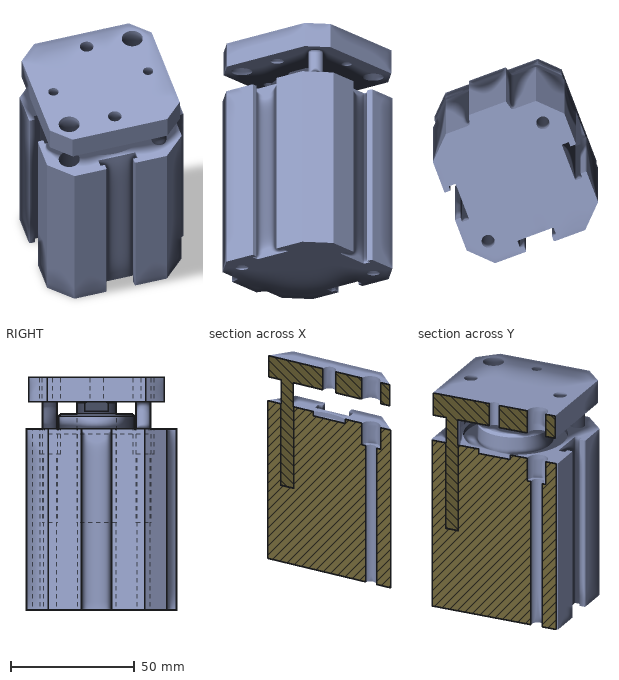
import cadquery as cq

TOTAL_HEIGHT = 94.5
PLATE_THICKNESS = 10.0
HOUSING_HEIGHT = 73.5
PLATE_BOTTOM = TOTAL_HEIGHT - PLATE_THICKNESS

HOUSING_HALF = 28.49
HOUSING_CHAMFER = 9.0

RAIL_TIP_Y = 32.555
RAIL_TIP_HALF = 8.0
RAIL_ROOT_HALF = 9.2
RAIL_ROOT_RADIUS = 1.2

SLOT_MOUTH_HALF = 6.0
SLOT_INNER_HALF = 7.8
SLOT_LIP = 2.5
SLOT_DEPTH = 5.5
SLOT_FLOOR_RADIUS = 0.4
SLOT_MOUTH_CHAMFER = 0.3

RECESS_DIAMETER = 42.5
RECESS_DEPTH = 2.0
COLLAR_DIAMETER = 31.0
COLLAR_RISE = 6.1
COLLAR_CHAMFER = 1.0
COLLAR_TOP = HOUSING_HEIGHT + COLLAR_RISE

ROD_DIAMETER = 16.0
FLATS_WIDTH = 12.85
FLATS_HEIGHT = 3.8
ROD_END_CHAMFER = 0.4

CORNER_OFFSET = 19.0
PIN_CORNERS = [(-CORNER_OFFSET, -CORNER_OFFSET), (CORNER_OFFSET, CORNER_OFFSET)]
BOLT_CORNERS = [(-CORNER_OFFSET, CORNER_OFFSET), (CORNER_OFFSET, -CORNER_OFFSET)]
PIN_DIAMETER = 6.0
INSERTION = 37.8
INSERTED_END = HOUSING_HEIGHT - INSERTION
BOLT_HOLE_DIAMETER = 5.3
COUNTERBORE_DIAMETER = 8.5
COUNTERBORE_DEPTH = 10.0

PLATE_HALF = 27.5
PLATE_CHAMFER = 7.5
ACCESS_HOLE_DIAMETER = 8.5
PLATE_HOLE_OFFSET = 20.0
SIDE_HOLE_DIAMETER = 5.5
FRONT_HOLE_DIAMETER = 4.2


def cylinders(diameter, z_from, z_to, centers):
    """Upright cylinders of one diameter at each of the given centers."""
    return (
        cq.Workplane("XY")
        .workplane(offset=z_from)
        .pushPoints(centers)
        .circle(diameter / 2)
        .extrude(z_to - z_from)
    )


def piston_rod():
    """Round rod from inside the housing to the plate, flattened on both X sides below the plate."""
    rod = cylinders(ROD_DIAMETER, INSERTED_END, PLATE_BOTTOM, [(0, 0)])
    rod = rod.faces(">Z").edges().chamfer(ROD_END_CHAMFER)
    flats_band = (
        cq.Workplane("XY")
        .workplane(offset=PLATE_BOTTOM - FLATS_HEIGHT)
        .rect(2 * ROD_DIAMETER, 2 * ROD_DIAMETER)
        .rect(FLATS_WIDTH, 2 * ROD_DIAMETER)
        .extrude(FLATS_HEIGHT)
    )
    return rod.cut(flats_band)


def guide_pins():
    return cylinders(PIN_DIAMETER, INSERTED_END, PLATE_BOTTOM, PIN_CORNERS)


def back_rail():
    """Tapered rail on the back face with rounded roots."""
    profile = [
        (-RAIL_ROOT_HALF, HOUSING_HALF),
        (-RAIL_TIP_HALF, RAIL_TIP_Y),
        (RAIL_TIP_HALF, RAIL_TIP_Y),
        (RAIL_ROOT_HALF, HOUSING_HALF),
        (RAIL_ROOT_HALF, 0),
        (-RAIL_ROOT_HALF, 0),
    ]
    return cq.Workplane("XY").polyline(profile).close().extrude(HOUSING_HEIGHT)


def t_slot():
    """Cutter for the T-slot in the right (+X) face, with a flared mouth and rounded floor corners."""
    lip_x = HOUSING_HALF - SLOT_LIP
    flare_x = HOUSING_HALF - SLOT_MOUTH_CHAMFER
    flare_half = SLOT_MOUTH_HALF + SLOT_MOUTH_CHAMFER
    floor_x = HOUSING_HALF - SLOT_DEPTH
    upper_side = [
        (floor_x, SLOT_INNER_HALF),
        (lip_x, SLOT_INNER_HALF),
        (lip_x, SLOT_MOUTH_HALF),
        (flare_x, SLOT_MOUTH_HALF),
        (HOUSING_HALF, flare_half),
    ]
    lower_side = [(x, -y) for x, y in reversed(upper_side)]
    slot = cq.Workplane("XY").polyline(upper_side + lower_side).close().extrude(HOUSING_HEIGHT)
    return slot.faces("<X").edges("|Z").fillet(SLOT_FLOOR_RADIUS)


def housing_profile():
    """Extruded block with chamfered corners, back rail and three T-slots."""
    block = (
        cq.Workplane("XY")
        .rect(2 * HOUSING_HALF, 2 * HOUSING_HALF)
        .extrude(HOUSING_HEIGHT)
        .edges("|Z")
        .chamfer(HOUSING_CHAMFER)
    )
    profile = block.union(back_rail())
    for x in (-RAIL_ROOT_HALF, RAIL_ROOT_HALF):
        root = (x, HOUSING_HALF, HOUSING_HEIGHT / 2)
        profile = profile.edges(cq.selectors.NearestToPointSelector(root)).fillet(RAIL_ROOT_RADIUS)
    for angle in (0, 180, 270):
        profile = profile.cut(t_slot().rotate((0, 0, 0), (0, 0, 1), angle))
    return profile


def make_housing():
    housing = housing_profile()
    recess_floor = HOUSING_HEIGHT - RECESS_DEPTH
    housing = housing.cut(cylinders(RECESS_DIAMETER, recess_floor, HOUSING_HEIGHT, [(0, 0)]))

    collar = cylinders(COLLAR_DIAMETER, recess_floor, COLLAR_TOP, [(0, 0)])
    housing = housing.union(collar.faces(">Z").edges().chamfer(COLLAR_CHAMFER))

    counterbore_floor = HOUSING_HEIGHT - COUNTERBORE_DEPTH
    housing = housing.cut(cylinders(BOLT_HOLE_DIAMETER, 0, HOUSING_HEIGHT, BOLT_CORNERS))
    housing = housing.cut(cylinders(COUNTERBORE_DIAMETER, counterbore_floor, HOUSING_HEIGHT, BOLT_CORNERS))

    return housing.cut(piston_rod()).cut(guide_pins())


def make_tool_plate_assembly():
    """Tool plate with its piston rod and guide pins, one moving body."""
    plate = (
        cq.Workplane("XY")
        .workplane(offset=PLATE_BOTTOM)
        .rect(2 * PLATE_HALF, 2 * PLATE_HALF)
        .extrude(PLATE_THICKNESS)
        .edges("|Z")
        .chamfer(PLATE_CHAMFER)
    )
    hole_groups = [
        (ACCESS_HOLE_DIAMETER, BOLT_CORNERS),
        (SIDE_HOLE_DIAMETER, [(-PLATE_HOLE_OFFSET, 0), (PLATE_HOLE_OFFSET, 0)]),
        (FRONT_HOLE_DIAMETER, [(0, -PLATE_HOLE_OFFSET), (0, PLATE_HOLE_OFFSET)]),
    ]
    for diameter, centers in hole_groups:
        plate = plate.cut(cylinders(diameter, PLATE_BOTTOM, TOTAL_HEIGHT, centers))
    return plate.union(piston_rod()).union(guide_pins())


housing = make_housing()
tool_plate_assembly = make_tool_plate_assembly()

result = cq.Compound.makeCompound([housing.val(), tool_plate_assembly.val()])